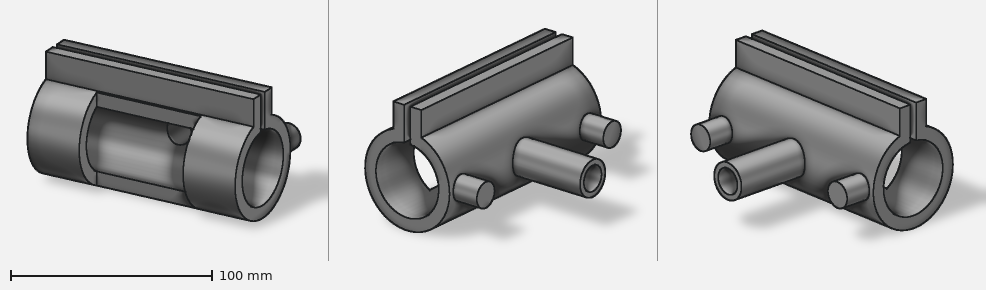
import cadquery as cq

length = 120.0
outer_radius = 27.0
bore_radius = 20.0

ear_top = 40.3
slit_width = 4.0
ear_thickness = 7.0

window_length = length / 2
window_face_y = -10.0

main_rod_diameter = 20.0
main_rod_end = 70.0
main_rod_bore = 14.0
side_rod_diameter = 14.0
side_rod_end = 42.0
side_rod_inset = 10.0


def cylinder_x(radius):
    """Cylinder along X over the full length of the clamp."""
    return cq.Workplane("YZ").circle(radius).extrude(length / 2, both=True)


def rod_y(x, diameter, end_y):
    """Rod along +Y from the tube axis to end_y."""
    return cq.Workplane("XZ", origin=(x, 0, 0)).circle(diameter / 2).extrude(-end_y)


def box_above_axis(width_y):
    """Full-length block from the tube axis up to the ear tops."""
    return cq.Workplane("XY").rect(length, width_y).extrude(ear_top)


body = cylinder_x(outer_radius).union(box_above_axis(slit_width + 2 * ear_thickness))
body = body.union(rod_y(0, main_rod_diameter, main_rod_end))
side_rod_x = length / 2 - side_rod_inset
for x in (-side_rod_x, side_rod_x):
    body = body.union(rod_y(x, side_rod_diameter, side_rod_end))

body = body.cut(cylinder_x(bore_radius))
body = body.cut(box_above_axis(slit_width))
body = body.cut(rod_y(0, main_rod_bore, main_rod_end))

window_depth = outer_radius + window_face_y
window = cq.Workplane("XY").box(window_length, window_depth, 2 * outer_radius)
window = window.translate((0, window_face_y - window_depth / 2, 0))

result = body.cut(window)